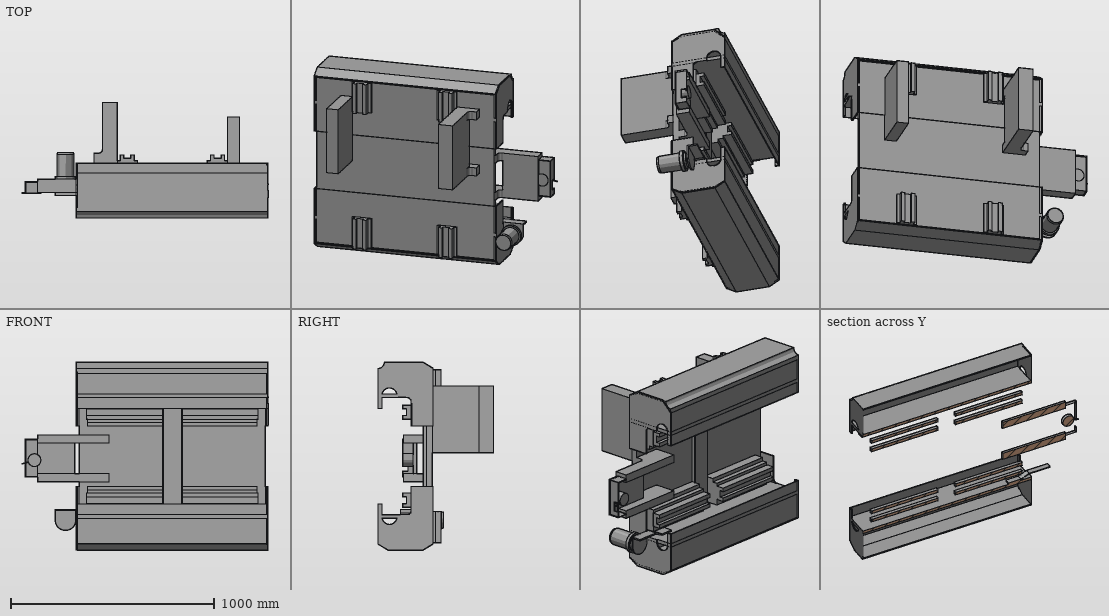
import cadquery as cq


cover_length = 944.0
total_height = 927.0
half_height = total_height / 2
cover_depth = 272.0
sheet = 4.0
roof_thickness = 10.0
flange_edge = 235.0
floor_level = 288.0
floor_thickness = 18.0
chamfer_depth = 51.0
chamfer_height = 30.0
cove_radius = 32.0
cove_back_depth = 56.0
cove_back_height = 52.0
end_inset = 1.0
end_thickness = 6.0
end_leg_front = 163.0
end_leg_edge = 148.0
end_flange = 21.0
leg_fillet = 20.0
end_hole_radius = 36.0
end_hole_y = 57.0
end_hole_level = 299.0

base_front = 240.0
base_back = cover_depth - sheet
base_half_height = 425.0
base_left = 15.0
base_right = 932.0
column_left = 425.0
column_right = 523.0
column_front = 221.0
column_chamfer = 4.0
bed_left = 52.0
bed_right = 895.0
bed_inset = 4.0
bed_step_front = 190.0
bed_step_level = 166.0
bed_end_level = 282.0
channel_front = 122.0
channel_floor = 141.0
channel_levels = (181.0, 200.0, 233.0, 252.0)

arm_left = -190.0
arm_right = 163.0
arm_front = 125.0
arm_back = 192.0
arm_height = 40.0
arm_bottoms = (65.0, -126.0)
arm_fillet = 18.0
carrier_plate_front = 174.0
carrier_plate_right = -6.0
box_left = -252.0
box_front = 122.0
box_back = 181.0
box_top = 85.0
box_bottom = -103.0
box_wall = 5.0
box_bottom_wall = 2.0
notch_depth = 27.0
notch_bottom = -74.0
notch_top = -27.0
knob_x = -205.0
knob_z = -20.0
knob_radius = 32.0
pointer_tip = -267.0
pointer_tip_z = -39.0
pointer_width = 5.0

motor_x = -52.0
motor_z = -315.0
motor_sections = (
    (43.0, 203.0, 323.0),
    (51.0, 187.0, 204.0),
    (12.0, 162.0, 177.0),
)
motor_back_taper = 11.0
motor_back_step = 4.0
nose_radius = 43.0
nose_front = 176.0
nose_chamfer = 7.0
strap_radius = 51.0
strap_thickness = 7.0
strap_top = -261.0
strap_front = 110.0
strap_back = 163.0
strap_bend_start = 15.0
strap_bend_end = 61.0
strap_right = 130.0
strap_drop = floor_level + strap_top - strap_thickness

upright_top = 346.0
upright_bottom = 16.0
main_left = 129.0
main_right = 203.0
main_front = 306.0
main_back = 570.0
foot_left = 88.0
foot_height = 41.0
foot_back = 320.0
foot_fillet = 20.0
second_left = 745.0
second_right = 805.0
second_back = 498.0
rail_inner_end = 273.0
rail_outer_end = 427.0
rail_base_back = 283.0
rail_back = 311.0
rail_groove_floor = 295.0
rail_base_width = 100.0
rail_width = 70.0
rail_offset = 13.0
rail_leg = 18.0

stud_reach = 4.0
leg_stud_y = (164.0, 169.0)
leg_stud_z = (153.0, 259.0)
floor_stud_y = (101.0, 136.0)
floor_stud_z = (288.0, 292.0)


def box(x, y, z):
    """Box between pairs of limits along X, Y and Z."""
    size = (x[1] - x[0], y[1] - y[0], z[1] - z[0])
    return cq.Workplane("XY").box(*size, centered=False).translate((x[0], y[0], z[0]))


def along_x(sketch, left, right):
    """Closed YZ sketch extruded between two X positions."""
    return sketch.close().extrude(right - left).translate((left, 0, 0))


def polygon_along_x(points, left, right):
    return along_x(cq.Workplane("YZ").polyline(points), left, right)


def cylinder_y(x, z, radius, front, back):
    disc = cq.Workplane("XZ").center(x, z).circle(radius)
    return disc.extrude(front - back).translate((0, front, 0))


def front_edge(sketch, coved):
    """Draw from the front floor up around the front top corner of a cover."""
    if coved:
        bend = cove_radius * 0.5 ** 0.5
        sketch = sketch.lineTo(0, half_height - cove_radius)
        return sketch.threePointArc((bend, half_height - bend), (cove_radius, half_height))
    return sketch.lineTo(0, half_height - chamfer_height).lineTo(chamfer_depth, half_height)


def cover(coved):
    """Hollow cover above mid-height; its front corner is hollow or chamfered."""
    shoulder = half_height - chamfer_height
    sketch = front_edge(cq.Workplane("YZ").moveTo(0, floor_level), coved)
    sketch = sketch.lineTo(cover_depth - chamfer_depth, half_height)
    sketch = sketch.lineTo(cover_depth, shoulder).lineTo(cover_depth, floor_level)
    shell = along_x(sketch, end_thickness, cover_length)

    roof = half_height - roof_thickness
    corner = (cove_back_depth, cove_back_height) if coved else (chamfer_depth, chamfer_height)
    cavity = [
        (sheet, floor_level + floor_thickness),
        (sheet, half_height - corner[1] - sheet),
        (corner[0], roof),
        (cover_depth - chamfer_depth, roof),
        (base_back, shoulder - sheet),
        (base_back, floor_level + floor_thickness),
    ]
    shell = shell.cut(polygon_along_x(cavity, end_thickness, cover_length))
    span = (end_thickness, cover_length)
    shell = shell.union(box(span, (0, sheet), (flange_edge, floor_level)))
    shell = shell.union(box((0, cover_length), (base_back, cover_depth), (end_leg_edge, shoulder)))
    if coved:
        strip = cq.Workplane("YZ").moveTo(0, half_height - cove_back_height)
        strip = front_edge(strip, coved).lineTo(cove_back_depth, half_height)
        shell = shell.union(along_x(strip, 0, cover_length))
    return shell


def end_plate(coved, left):
    """L-shaped end plate with a front flange and a round notch over the floor."""
    right = left + end_thickness
    corner = (cove_back_depth, cove_back_height) if coved else (chamfer_depth, chamfer_height)
    top = half_height - end_inset
    outline = [
        (end_inset, flange_edge),
        (end_inset, half_height - corner[1]),
        (corner[0], top),
        (cover_depth - chamfer_depth, top),
        (base_back, half_height - chamfer_height),
        (base_back, end_leg_edge),
        (end_leg_front, end_leg_edge),
        (end_leg_front, floor_level - leg_fillet),
    ]
    bend = leg_fillet * (1 - 0.5 ** 0.5)
    sketch = cq.Workplane("YZ").polyline(outline)
    sketch = sketch.threePointArc(
        (end_leg_front - bend, floor_level - bend),
        (end_leg_front - leg_fillet, floor_level),
    )
    sketch = sketch.lineTo(end_flange, floor_level).lineTo(end_flange, flange_edge)
    plate = along_x(sketch, left, right)

    hole = cq.Workplane("YZ").center(end_hole_y, end_hole_level).circle(end_hole_radius)
    hole = hole.extrude(right - left).translate((left, 0, 0))
    hole_span = (end_hole_y - end_hole_radius, end_hole_y + end_hole_radius)
    mouth = box((left, right), hole_span, (floor_level - end_hole_radius, end_hole_level))
    return plate.cut(hole).cut(mouth)


def stepped_bed(left, right, left_inset, right_inset):
    """Stepped block carrying a forward-facing channel along its edge."""
    steps = [
        (base_front, end_leg_edge),
        (bed_step_front, end_leg_edge),
        (bed_step_front, bed_step_level),
        (end_leg_front, bed_step_level),
        (end_leg_front, bed_end_level),
        (base_front, bed_end_level),
    ]
    bottom, groove_bottom, groove_top, top = channel_levels
    channel = box((left, right), (channel_front, end_leg_front), (bottom, top))
    groove = box((left, right), (channel_front, channel_floor), (groove_bottom, groove_top))
    block = polygon_along_x(steps, left + left_inset, right - right_inset)
    return block.union(channel.cut(groove))


def frame_half(coved):
    """Everything on one side of mid-height that repeats above and below."""
    half = cover(coved)
    half = half.union(end_plate(coved, 0))
    half = half.union(end_plate(coved, cover_length - end_thickness))
    half = half.union(stepped_bed(bed_left, column_left, bed_inset, 0))
    return half.union(stepped_bed(column_right, bed_right, 0, bed_inset))


def base():
    heights = (-base_half_height, base_half_height)
    plate = box((base_left, base_right), (base_front, base_back), heights)
    column = box((column_left, column_right), (column_front, base_front), (-floor_level, floor_level))
    return plate.union(column.faces("<Y").edges("|Z").chamfer(column_chamfer))


def side_carrier():
    """Arms reaching out to the left, joined by a plate that carries an open box."""
    carrier = box(
        (arm_left, carrier_plate_right),
        (carrier_plate_front, arm_back),
        (arm_bottoms[1], arm_bottoms[0] + arm_height),
    )
    for bottom in arm_bottoms:
        outline = [
            (arm_left, arm_front),
            (arm_right, arm_front),
            (arm_right, base_front),
            (base_left, base_front),
            (base_left, arm_back),
            (arm_left, arm_back),
        ]
        arm = cq.Workplane("XY").polyline(outline).close().extrude(arm_height)
        inner_corner = cq.selectors.NearestToPointSelector((base_left, arm_back, arm_height / 2))
        arm = arm.edges("|Z").edges(inner_corner).fillet(arm_fillet)
        carrier = carrier.union(arm.translate((0, 0, bottom)))

    tray = box((box_left, arm_left), (box_front, box_back), (box_bottom, box_top))
    tray = tray.cut(
        box(
            (box_left + box_wall, arm_left),
            (box_front, box_back - box_wall),
            (box_bottom + box_bottom_wall, box_top - box_wall),
        )
    )
    notch_span = (box_front, box_front + notch_depth)
    tray = tray.cut(box((box_left, box_left + box_wall), notch_span, (notch_bottom, notch_top)))
    knob = cylinder_y(knob_x, knob_z, knob_radius, box_front, box_back)
    return carrier.union(tray).union(knob).union(pointer())


def pointer():
    """Thin slanted finger running out from the knob past the box."""
    outline = [
        (pointer_tip, pointer_tip_z),
        (knob_x, knob_z - pointer_width),
        (knob_x, knob_z),
        (pointer_tip, pointer_tip_z + pointer_width / 2),
    ]
    finger = cq.Workplane("XZ").polyline(outline).close().extrude(-pointer_width)
    return finger.translate((0, box_front, 0))


def motor():
    """Barrel, flange and shaft, with a chamfered nose between flange and shaft."""
    barrel, flange, shaft = [cylinder_y(motor_x, motor_z, *section) for section in motor_sections]
    flange_front = motor_sections[1][1]
    nose = cylinder_y(motor_x, motor_z, nose_radius, nose_front, flange_front)
    nose = nose.faces("<Y").chamfer(nose_chamfer)
    barrel = barrel.faces(">Y").chamfer(motor_back_taper, motor_back_step)
    return barrel.union(flange).union(nose).union(shaft)


def strap():
    """Round-ended hanger plate and a cranked strip that lands on the cover floor."""
    left = motor_x - strap_radius
    right = motor_x + strap_radius
    hanger_front = strap_back - strap_thickness
    hanger = cylinder_y(motor_x, motor_z, strap_radius, hanger_front, strap_back)
    hanger = hanger.union(box((left, right), (hanger_front, strap_back), (motor_z, strap_top)))
    upper = [(left, strap_top), (strap_bend_start, strap_top)]
    lower = [(strap_bend_end, strap_top - strap_drop), (strap_right, strap_top - strap_drop)]
    top_line = upper + lower
    under_line = [(x, z - strap_thickness) for x, z in reversed(top_line)]
    strip = cq.Workplane("XZ").polyline(top_line + under_line).close()
    strip = strip.extrude(strap_front - strap_back).translate((0, strap_front, 0))
    return hanger.union(strip)


def main_upright():
    """Tall block held off the base by two filleted feet."""
    upright = box((main_left, main_right), (main_front, main_back), (upright_bottom, upright_top))
    for bottom in (upright_bottom, upright_top - foot_height):
        outline = [
            (foot_left, base_back),
            (main_right, base_back),
            (main_right, foot_back + foot_fillet),
            (main_left, foot_back + foot_fillet),
        ]
        bend = foot_fillet * (1 - 0.5 ** 0.5)
        foot = cq.Workplane("XY").polyline(outline)
        foot = foot.threePointArc(
            (main_left - bend, foot_back + bend),
            (main_left - foot_fillet, foot_back),
        )
        foot = foot.lineTo(foot_left, foot_back).close().extrude(foot_height)
        upright = upright.union(foot.translate((0, 0, bottom)))
    return upright


def second_upright():
    return box((second_left, second_right), (base_back, second_back), (upright_bottom, upright_top))


def back_rail(base_start, raised_start):
    """Upright channel rail on a wider base strip, in line above and below mid-height."""
    heights = (rail_inner_end, rail_outer_end)
    strip = box((base_start, base_start + rail_base_width), (base_back, rail_base_back), heights)
    raised_end = raised_start + rail_width
    raised = box((raised_start, raised_end), (rail_base_back, rail_back), heights)
    groove_span = (raised_start + rail_leg, raised_end - rail_leg)
    rail = strip.union(raised.cut(box(groove_span, (rail_groove_floor, rail_back), heights)))
    return rail.union(rail.mirror("XY"))


def end_studs():
    """Thin raised marks on the outer face of the right end plate."""
    reach = (cover_length - end_thickness, cover_length + stud_reach)
    leg_stud = box(reach, leg_stud_y, leg_stud_z)
    floor_stud = box(reach, floor_stud_y, floor_stud_z)
    return leg_stud.union(floor_stud)


result = base().union(frame_half(coved=True))
result = result.union(frame_half(coved=False).mirror("XY"))
for feature in (
    side_carrier(),
    motor(),
    strap(),
    main_upright(),
    second_upright(),
    back_rail(main_right, main_right + rail_offset),
    back_rail(second_left - rail_base_width, second_left - rail_offset - rail_width),
    end_studs(),
):
    result = result.union(feature)